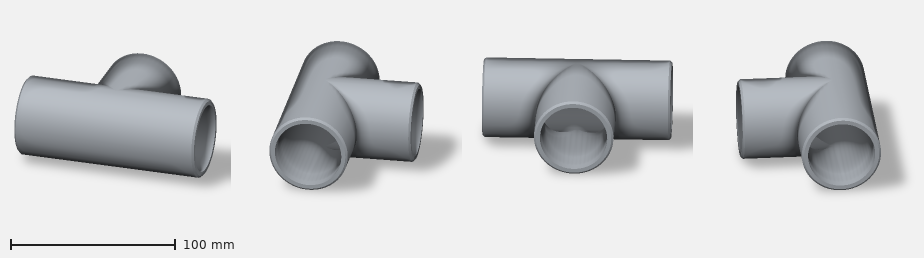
import cadquery as cq

run_length = 114.3
branch_length = run_length / 2
outer_diameter = 48.3
bore_diameter = 40.9
bevel_length = 1.3
bevel_depth = 1.3

outer_radius = outer_diameter / 2
end_radius = outer_radius - bevel_depth


def run_body():
    """Solid run, turned about X, with a bevel at both ends."""
    half_length = run_length / 2
    bevel_start = half_length - bevel_length
    profile = [
        (-half_length, 0),
        (-half_length, end_radius),
        (-bevel_start, outer_radius),
        (bevel_start, outer_radius),
        (half_length, end_radius),
        (half_length, 0),
    ]
    return cq.Workplane("XY").polyline(profile).close().revolve(360, (0, 0, 0), (1, 0, 0))


def branch_body():
    """Solid branch, turned about Y, with a bevel at its open end."""
    profile = [
        (0, 0),
        (outer_radius, 0),
        (outer_radius, branch_length - bevel_length),
        (end_radius, branch_length),
        (0, branch_length),
    ]
    return cq.Workplane("XY").polyline(profile).close().revolve(360, (0, 0, 0), (0, 1, 0))


def bore(length, start, direction):
    """Cylindrical cutter for the inside of one pipe."""
    return cq.Workplane(cq.Solid.makeCylinder(bore_diameter / 2, length, start, direction))


run_bore = bore(run_length, cq.Vector(-run_length / 2, 0, 0), cq.Vector(1, 0, 0))
branch_bore = bore(branch_length, cq.Vector(0, 0, 0), cq.Vector(0, 1, 0))

result = run_body().union(branch_body()).cut(run_bore).cut(branch_bore)